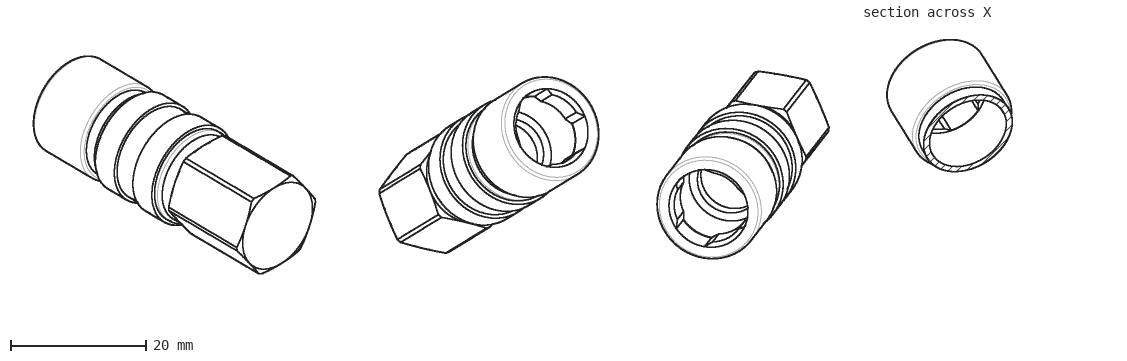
import cadquery as cq
import math

LENGTH = 45.15

SLEEVE_DIA = 15.8
SLEEVE_LENGTH = 10.9
SLEEVE_FILLET = 0.4

NECK_DIA = 14.0

COLLAR_START = 12.9
COLLAR_END = 27.5
COLLAR_DIA = 15.1
COLLAR_FILLET = 0.5
RING_DIA = 16.15
RING_WIDTH = 4.15
RING_STARTS = (14.05, 22.25)

HEX_START = 29.57
HEX_ACROSS_FLATS = 14.0
HEX_CORNER_DIA = 15.8
HEX_TURN = 6.4
HEX_CHAMFER_LENGTH = 0.3
HEX_CHAMFER_DIA = 14.0

MOUTH_DIA = 12.0
SOCKET_DIA = 12.15
SOCKET_DEPTH = 13.55
VALVE_BORE_DIA = 9.65
VALVE_BORE_END = 15.8

LUG_COUNT = 3
LUG_LENGTH = 4.7
LUG_INNER_DIA = 10.75
LUG_FLAT_DISTANCE = 4.88
LUG_LEAD_IN = 0.68


def cylinder(diameter, start, end):
    """A cylinder about the X axis between two X positions."""
    return cq.Workplane("YZ", origin=(start, 0, 0)).circle(diameter / 2).extrude(end - start)


def cone(start_dia, end_dia, start, end):
    """A truncated cone about the X axis between two X positions."""
    profile = [(start, 0), (start, start_dia / 2), (end, end_dia / 2), (end, 0)]
    return cq.Workplane("XY").polyline(profile).close().revolve(360, (0, 0, 0), (1, 0, 0))


def make_hex():
    """Hexagon with turned-down corners and a conical chamfer at both ends."""
    corner_to_corner = HEX_ACROSS_FLATS / math.cos(math.pi / 6)
    prism = (
        cq.Workplane("YZ", origin=(HEX_START, 0, 0))
        .polygon(6, corner_to_corner)
        .extrude(LENGTH - HEX_START)
        .rotate((0, 0, 0), (1, 0, 0), HEX_TURN)
    )
    front_end = HEX_START + HEX_CHAMFER_LENGTH
    rear_start = LENGTH - HEX_CHAMFER_LENGTH
    envelope = (
        cone(HEX_CHAMFER_DIA, HEX_CORNER_DIA, HEX_START, front_end)
        .union(cylinder(HEX_CORNER_DIA, front_end, rear_start))
        .union(cone(HEX_CORNER_DIA, HEX_CHAMFER_DIA, rear_start, LENGTH))
    )
    return prism.intersect(envelope)


def make_lugs():
    """Guide lugs evenly spaced about the axis, the first one on the +Y side."""
    segment_width = MOUTH_DIA / 2 - LUG_FLAT_DISTANCE
    opening = cylinder(LUG_INNER_DIA, 0, LUG_LENGTH).union(
        cone(MOUTH_DIA, LUG_INNER_DIA, 0, LUG_LEAD_IN)
    )
    segment = cq.Workplane("XY").box(LUG_LENGTH, segment_width, MOUTH_DIA, centered=(False, False, True))
    lug = (
        segment.translate((0, LUG_FLAT_DISTANCE, 0))
        .intersect(cylinder(MOUTH_DIA, 0, LUG_LENGTH))
        .cut(opening)
    )
    return [lug.rotate((0, 0, 0), (1, 0, 0), index * 360 / LUG_COUNT) for index in range(LUG_COUNT)]


body = cylinder(NECK_DIA, 0, HEX_START)
body = body.union(cylinder(SLEEVE_DIA, 0, SLEEVE_LENGTH).edges().fillet(SLEEVE_FILLET))
body = body.union(cylinder(COLLAR_DIA, COLLAR_START, COLLAR_END).edges().fillet(COLLAR_FILLET))
for ring_start in RING_STARTS:
    body = body.union(cylinder(RING_DIA, ring_start, ring_start + RING_WIDTH))
body = body.union(make_hex())

body = body.cut(cylinder(MOUTH_DIA, 0, LUG_LENGTH))
body = body.cut(cylinder(SOCKET_DIA, LUG_LENGTH, SOCKET_DEPTH))
body = body.cut(cylinder(VALVE_BORE_DIA, SOCKET_DEPTH, VALVE_BORE_END))

for guide_lug in make_lugs():
    body = body.union(guide_lug)

result = body